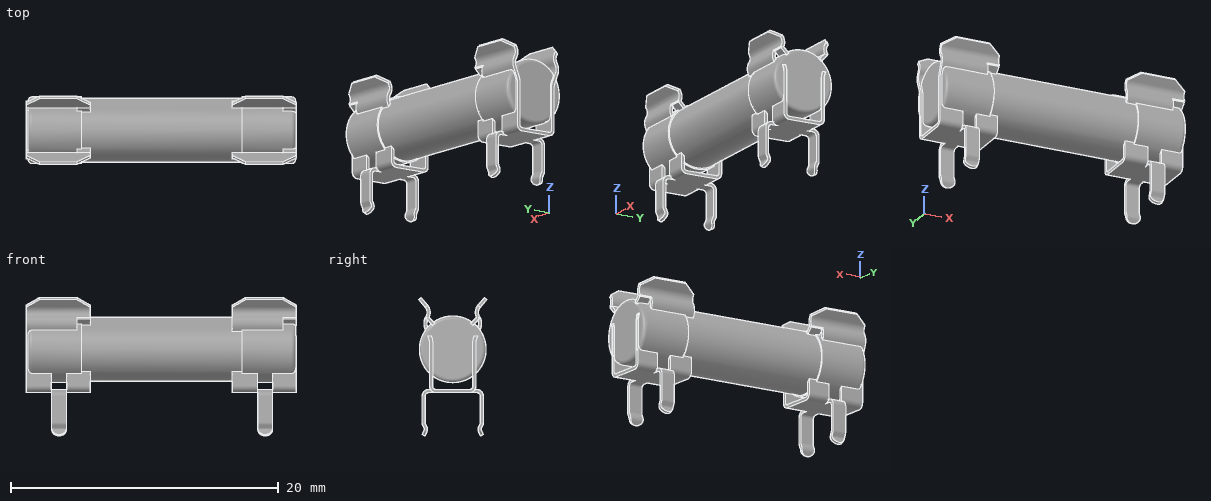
import math

import cadquery as cq

fuse_length = 20.0
fuse_center_x = 0.05
body_diameter = 4.8
cap_diameter = 5.0
cap_length = 4.0
cap_edge_radius = 0.3

sheet = 0.25
clip_width = 4.8
clip_count = 2
clip_pitch = 15.4
clip_start_x = -10.1

wall_y = 1.615
floor_z = -3.11
floor_bend_radius = 0.35
wall_top_z = 0.51

lean_angle = 22
lean_radius = 1.0
lean_straight = 0.775
bulge_radius = 0.85
pinch_angle = 32
pinch_radius = 0.72
flare_angle = 40
flare_straight = 0.755
flare_corner_x = 1.0
flare_corner_length = 0.75

tab_width = 1.0
tab_length = 0.7
tab_heading = 225
notch_bottom_z = 1.0

leg_offset_x = 1.9
leg_width = 1.13
leg_y = 2.175
leg_bend_radius = 0.4
leg_kink_z = -5.49
kink_radius = 0.28
kink_angle = 25
kink_straight = 0.25
foot_bend_radius = 0.34
foot_angle = 25
foot_straight = 0.33
window_top_z = 0.0

clearance = 5.0


def polar(point, angle, distance):
    """Point in the YZ plane at a distance from another, angle in degrees from +Y."""
    a = math.radians(angle)
    return (point[0] + distance * math.cos(a), point[1] + distance * math.sin(a))


def trace_sheet(start, heading, bends, last_straight):
    """Follow a bent sheet centre line made of (straight, bend radius, turn) bends.

    Returns the stretches, each a list of (point, heading) stations: two for a straight
    and three for a bend. The last station of the last stretch is the free end.
    """
    station = (start, heading)
    stretches = []
    for straight, radius, turn in bends:
        if straight:
            before = station
            station = (polar(before[0], heading, straight), heading)
            stretches.append([before, station])
        side = math.copysign(90, turn)
        center = polar(station[0], heading + side, radius)
        headings = (heading, heading + turn / 2, heading + turn)
        bend = [(polar(center, h - side, radius), h) for h in headings]
        stretches.append(bend)
        station = bend[-1]
        heading += turn
    if last_straight:
        stretches.append([station, (polar(station[0], heading, last_straight), heading)])
    return stretches


def sheet_end(*path):
    """Free end of a sheet centre line, as (point, heading)."""
    return trace_sheet(*path)[-1][-1]


def bent_sheet(path, x_start, width):
    """Solid of a bent sheet strip running across X from x_start."""
    stretches = trace_sheet(*path)

    def face_point(station, side):
        point, heading = station
        return cq.Vector(x_start, *polar(point, heading + side, sheet / 2))

    edges = []
    for side in (90, -90):
        for stretch in stretches:
            points = [face_point(station, side) for station in stretch]
            make_edge = cq.Edge.makeLine if len(points) == 2 else cq.Edge.makeThreePointArc
            edges.append(make_edge(*points))
    for station in (stretches[0][0], stretches[-1][-1]):
        edges.append(cq.Edge.makeLine(face_point(station, 90), face_point(station, -90)))
    outline = cq.Wire.assembleEdges(edges)
    return cq.Workplane(cq.Solid.extrudeLinear(outline, [], cq.Vector(width, 0, 0)))


def end_plane(end, x):
    """Plane lying in a sheet at its free end: local X along the part, local Y off the end."""
    point, heading = end
    a = math.radians(heading)
    normal = (0, -math.sin(a), math.cos(a))
    return cq.Plane(origin=(x, *point), xDir=(1, 0, 0), normal=normal)


def make_fuse():
    """Solid tube with a larger, rounded cap at each end."""
    left_x = fuse_center_x - fuse_length / 2
    body = cq.Workplane("YZ", origin=(left_x + cap_edge_radius, 0, 0)).circle(body_diameter / 2)
    fuse = body.extrude(fuse_length - 2 * cap_edge_radius)
    for cap_x, outer_face in ((left_x, "<X"), (left_x + fuse_length - cap_length, ">X")):
        cap = cq.Workplane("YZ", origin=(cap_x, 0, 0)).circle(cap_diameter / 2).extrude(cap_length)
        fuse = fuse.union(cap.faces(outer_face).edges().fillet(cap_edge_radius))
    return fuse


floor_start = (0, floor_z)
wall_bends = [
    (wall_y - floor_bend_radius, floor_bend_radius, 90),
    (wall_top_z - floor_z - floor_bend_radius, lean_radius, -lean_angle),
    (lean_straight, bulge_radius, lean_angle + pinch_angle),
]
flare_bend = (0, pinch_radius, -pinch_angle - flare_angle)


def make_spring_side():
    """Half of the clip channel on the +Y side, up to the flared tip."""
    path = (floor_start, 0, wall_bends + [flare_bend], flare_straight)
    side = bent_sheet(path, 0, clip_width)

    plane = end_plane(sheet_end(*path), 0)
    for corner_x, inward in ((0, 1), (clip_width, -1)):
        corner = (
            cq.Workplane(plane)
            .moveTo(corner_x, -flare_corner_length)
            .lineTo(corner_x, 0)
            .lineTo(corner_x + inward * flare_corner_x, 0)
            .close()
            .extrude(sheet, both=True)
        )
        side = side.cut(corner)

    window_y = wall_y - floor_bend_radius
    window = cq.Workplane("XY").box(
        leg_width, clearance, window_top_z - floor_z + sheet / 2, centered=False
    )
    side = side.cut(window.translate((leg_offset_x, window_y, floor_z - sheet / 2)))

    pinch = sheet_end(floor_start, 0, wall_bends, 0)[0]
    notch_x = clip_width - tab_width
    notch = cq.Workplane("XY").box(tab_width, clearance, pinch[1] - notch_bottom_z, centered=False)
    side = side.cut(notch.translate((notch_x, 0, notch_bottom_z)))
    return side.union(bent_sheet((pinch, tab_heading, [], tab_length), notch_x, tab_width))


def make_leg():
    """Solder leg on the +Y side, kinked near its rounded foot."""
    bends = [
        (leg_y - leg_bend_radius, leg_bend_radius, -90),
        (floor_z - leg_bend_radius - leg_kink_z, kink_radius, -kink_angle),
        (kink_straight, foot_bend_radius, kink_angle + foot_angle),
    ]
    path = (floor_start, 0, bends, foot_straight)
    leg = bent_sheet(path, leg_offset_x, leg_width)

    half = leg_width / 2
    plane = end_plane(sheet_end(*path), leg_offset_x + half)
    corners = (
        cq.Workplane(plane)
        .moveTo(-half, -half)
        .threePointArc((0, 0), (half, -half))
        .lineTo(half, 0)
        .lineTo(half, sheet)
        .lineTo(-half, sheet)
        .close()
        .extrude(sheet, both=True)
    )
    return leg.cut(corners)


def make_clip():
    """Clip starting at X = 0, symmetric about the XZ plane."""
    side = make_spring_side().union(make_leg())
    return side.union(side.mirror("XZ"))


clip = make_clip()
result = make_fuse()
for index in range(clip_count):
    result = result.union(clip.translate((clip_start_x + index * clip_pitch, 0, 0)))